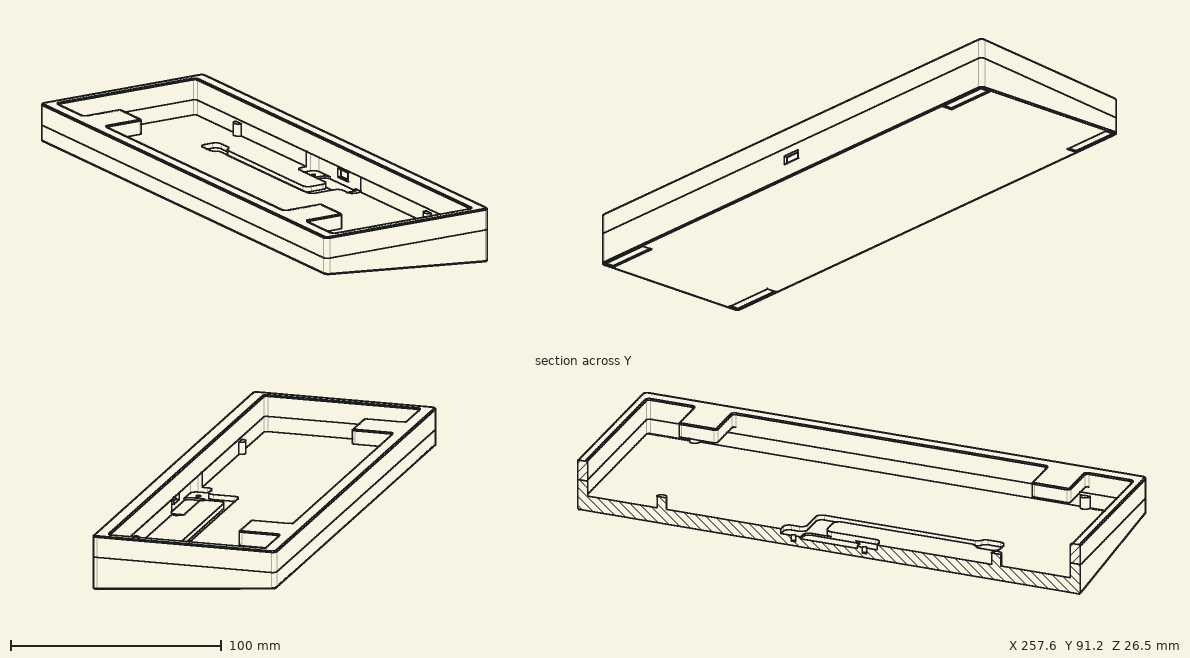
import cadquery as cq
import math

length = 257.6
width = 91.15
height = 26.52
tilt = 5.0
corner_radius = 2.2
edge_chamfer = 0.6

frame_height = 10.5
split_z = height - frame_height
cavity_depth = 7.5
floor_z = split_z - cavity_depth
side_wall = 4.5
end_wall = 7.0
cavity_length = length - 2 * side_wall
cavity_width = width - 2 * end_wall
cavity_radius = 1.5

tab_centre_x = 90.4
tab_width = 19.7
tab_reach = 20.3
tab_thickness = 7.2
tab_radius = 1.5

boss_diameter = 5.0
boss_height = 6.0
boss_y = 38.5
front_boss_x = 100.0
back_boss_x = 85.7

pocket_depth = 2.5
pocket_radius = 3.0
bay_length = 49.0
bay_front_y = 33.0
bay_back_y = 43.7

well_length = 28.8
well_depth = 3.5

board_hole_x = 18.2
board_hole_y = 38.5
board_hole_diameter = 2.0
board_hole_depth = 3.0

port_width = 9.2
port_height = 4.4
port_z = floor_z + 1.4

channel_left_x = 4.1
channel_right_x = well_length / 2
channel_y = 18.65
channel_width = 4.0
pad_left_x = -80.5
pad_flat_length = 9.2
pad_width = 10.2

foot_length = 26.0
foot_width = 6.0
foot_depth = 0.8
foot_x = 114.4
foot_y = 41.5


def block(x0, x1, y0, y1, z0, z1):
    """Box between two corner positions."""
    return cq.Workplane("XY").box(x1 - x0, y1 - y0, z1 - z0, centered=False).translate((x0, y0, z0))


def slab(size_x, size_y, radius, z0, z1):
    """Centred plate with rounded vertical corners."""
    return cq.Workplane("XY").workplane(offset=z0).rect(size_x, size_y).extrude(z1 - z0).edges("|Z").fillet(radius)


def vertical_edges_between(solid, x0, x1):
    """Vertical edges whose X lies in the given range."""
    zone = cq.selectors.BoxSelector((x0, -width, -height), (x1, width, height))
    return solid.edges("|Z").edges(zone)


def underside_z(y):
    """Height of the sloped underside; its back chamfer brings the lowest edge to Z = 0."""
    return (width / 2 - edge_chamfer - y) * math.tan(math.radians(tilt))


def make_frame():
    frame = slab(length, width, corner_radius, split_z, height)
    frame = frame.cut(slab(cavity_length, cavity_width, cavity_radius, split_z, height))
    front_wall_y = -cavity_width / 2
    for side in (-1, 1):
        x = side * tab_centre_x
        tab = block(
            x - tab_width / 2, x + tab_width / 2,
            front_wall_y - end_wall / 2, front_wall_y + tab_reach,
            height - tab_thickness, height,
        )
        frame = frame.union(tab)
    tab_end_x = tab_centre_x + tab_width / 2
    frame = vertical_edges_between(frame, -tab_end_x - 1, tab_end_x + 1).fillet(tab_radius)
    return frame.faces(">Z").chamfer(edge_chamfer)


def make_shell():
    profile = [
        (width / 2, underside_z(width / 2)),
        (width / 2, split_z),
        (-width / 2, split_z),
        (-width / 2, underside_z(-width / 2)),
    ]
    shell = cq.Workplane("YZ").polyline(profile).close().extrude(length / 2, both=True)
    shell = shell.edges("|Z").fillet(corner_radius)
    shell = shell.faces("<Z").chamfer(edge_chamfer)
    return shell.cut(slab(cavity_length, cavity_width, cavity_radius, floor_z, split_z))


def make_bosses():
    places = []
    for side in (-1, 1):
        places.append((side * front_boss_x, -boss_y))
        places.append((side * back_boss_x, boss_y))
    return (
        cq.Workplane("XY").workplane(offset=floor_z)
        .pushPoints(places).circle(boss_diameter / 2).extrude(boss_height)
    )


def channel_run(bottom):
    """Straight part of the cable channel with its end pad, joined by S-shaped necks."""
    run_front = channel_y - channel_width / 2
    run_back = channel_y + channel_width / 2
    pad_front = channel_y - pad_width / 2
    pad_back = channel_y + pad_width / 2
    step = run_front - pad_front
    neck_length = 2 * pocket_radius * math.sin(math.acos(1 - step / (2 * pocket_radius)))
    neck_start = pad_left_x + pad_flat_length
    neck_middle = neck_start + neck_length / 2
    neck_end = neck_start + neck_length
    return (
        cq.Workplane("XY").workplane(offset=bottom)
        .moveTo(pad_left_x, pad_front)
        .lineTo(neck_start, pad_front)
        .tangentArcPoint((neck_middle, pad_front + step / 2), relative=False)
        .tangentArcPoint((neck_end, run_front), relative=False)
        .lineTo(channel_right_x, run_front)
        .lineTo(channel_right_x, run_back)
        .lineTo(neck_end, run_back)
        .tangentArcPoint((neck_middle, pad_back - step / 2), relative=False)
        .tangentArcPoint((neck_start, pad_back), relative=False)
        .lineTo(pad_left_x, pad_back)
        .close()
        .extrude(split_z - bottom)
    )


def floor_pocket():
    """Connector bay and cable channel as one cutter."""
    bottom = floor_z - pocket_depth
    bay = block(-bay_length / 2, bay_length / 2, bay_front_y, bay_back_y, bottom, split_z)
    riser = block(channel_left_x, channel_right_x, channel_y, bay_back_y, bottom, split_z)
    pocket = channel_run(bottom).union(riser).union(bay).clean()
    pocket = vertical_edges_between(pocket, -bay_length, bay_length).fillet(pocket_radius)
    return vertical_edges_between(pocket, pad_left_x - 1, pad_left_x + 1).fillet(pocket_radius)


def bay_well():
    well = block(
        -well_length / 2, well_length / 2, bay_front_y, bay_back_y, floor_z - well_depth, split_z
    )
    return well.edges("|Z").fillet(pocket_radius)


def board_holes():
    return (
        cq.Workplane("XY").workplane(offset=floor_z - pocket_depth)
        .pushPoints([(-board_hole_x, board_hole_y), (board_hole_x, board_hole_y)])
        .circle(board_hole_diameter / 2).extrude(-board_hole_depth)
    )


def port():
    return block(
        -port_width / 2, port_width / 2, board_hole_y, width,
        port_z - port_height / 2, port_z + port_height / 2,
    )


def foot_recess(x, y):
    """Recess whose roof is parallel to the sloped underside."""
    recess = cq.Workplane("XY").box(foot_length, foot_width, 2 * foot_depth)
    recess = recess.rotate((0, 0, 0), (1, 0, 0), -tilt)
    return recess.translate((x, y, underside_z(y)))


def make_case():
    case = make_shell().union(make_bosses())
    case = case.cut(floor_pocket()).cut(bay_well()).cut(board_holes()).cut(port())
    for x in (-foot_x, foot_x):
        for y in (-foot_y, foot_y):
            case = case.cut(foot_recess(x, y))
    return case


frame = make_frame()
case = make_case()
result = cq.Compound.makeCompound([frame.val(), case.val()])